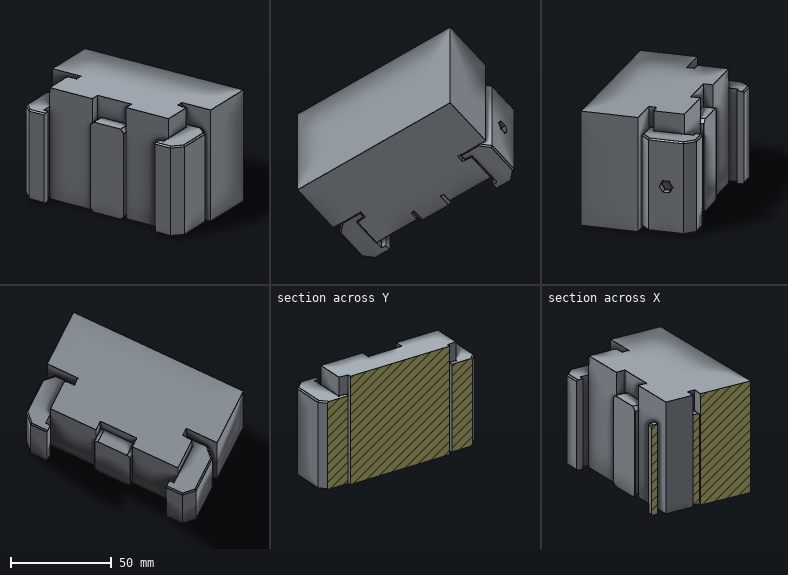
import cadquery as cq
import math


block_width = 94.0
block_height = 60.4
back_depth = 30.0
nose_front = 50.3
nose_inset = 11.75
groove_inset = 17.0
groove_depth = 3.9
lip_angle = 5.0

keyway_width = 20.0
keyway_floor = 45.3
key_height = 49.0
key_front = 52.3
key_corner = 2.0
key_edge = 0.3

overall_depth = 58.9
jaw_gap = 0.4
jaw_base = 1.0
jaw_height = 49.0
jaw_thickness = 11.6
jaw_corner = 5.1
jaw_rim = 0.75
upper_lip_reach = 16.0
hook_reach = 14.1
hook_thickness = 3.7

socket_flats = 6.0
socket_depth = 4.0
socket_front = 44.6

half_width = block_width / 2
lip_slope = math.tan(math.radians(lip_angle))


def lip_y(inset):
    """Y of the sloping lip face at a given distance inside the block side."""
    return -back_depth - groove_depth - (groove_inset - inset) * lip_slope


def make_block():
    left_side = [
        (-half_width, 0),
        (-half_width, -back_depth),
        (-half_width + groove_inset, -back_depth),
        (-half_width + groove_inset, lip_y(groove_inset)),
        (-half_width + nose_inset, lip_y(nose_inset)),
        (-half_width + nose_inset, -nose_front),
        (-keyway_width / 2, -nose_front),
        (-keyway_width / 2, -keyway_floor),
    ]
    right_side = [(-x, y) for x, y in reversed(left_side)]
    return cq.Workplane("XY").polyline(left_side + right_side).close().extrude(block_height)


def make_key():
    key_depth = key_front - keyway_floor
    return (
        cq.Workplane("XY")
        .box(keyway_width, key_depth, key_height, centered=(True, False, False))
        .translate((0, -key_front, 0))
        .edges("|Y")
        .chamfer(key_corner)
        .edges("|Z and <Y")
        .chamfer(key_edge)
    )


def jaw_prism(profile):
    return cq.Workplane("XY", origin=(0, 0, jaw_base)).polyline(profile).close().extrude(jaw_height)


def make_left_jaw():
    outer = -half_width
    rear = -back_depth - jaw_gap
    front = -overall_depth
    hook_tip_y = front + hook_thickness
    hook_root_y = hook_tip_y + (hook_reach - jaw_thickness) * lip_slope
    outer_side = [
        (outer + jaw_corner, front),
        (outer, front + jaw_corner),
        (outer, rear - jaw_corner),
        (outer + jaw_corner, rear),
    ]
    inner_side = [
        (outer + upper_lip_reach, rear),
        (outer + upper_lip_reach, lip_y(upper_lip_reach)),
        (outer + jaw_thickness, lip_y(jaw_thickness)),
        (outer + jaw_thickness, hook_root_y),
        (outer + hook_reach, hook_tip_y),
        (outer + hook_reach, front),
    ]
    envelope_side = [(0, rear), (0, front)]
    envelope = jaw_prism(outer_side + envelope_side).faces("<Z or >Z").chamfer(jaw_rim)
    return jaw_prism(outer_side + inner_side).intersect(envelope)


def make_socket():
    corner_diameter = socket_flats / math.cos(math.pi / 6)
    return (
        cq.Workplane("YZ", origin=(-half_width, -socket_front, jaw_base + jaw_height / 2))
        .polygon(6, corner_diameter)
        .extrude(socket_depth)
    )


left_jaw = make_left_jaw()
right_jaw = left_jaw.mirror("YZ")

result = make_block().union(make_key()).union(right_jaw).union(left_jaw.cut(make_socket()))